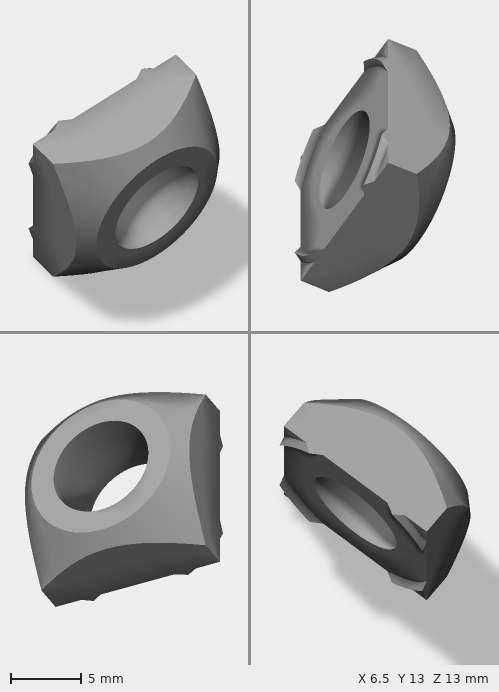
import cadquery as cq

side = 13.0
total_length = 6.5
bore_diameter = 7.5

ridge_radius = 7.5
ridge_height = 0.5
ridge_half_width = 0.38

cone_back_radius = 5.5

front_tip_x = -total_length / 2
front_face_x = front_tip_x + ridge_height
back_face_x = total_length / 2
body_length = back_face_x - front_face_x


def square_bar():
    """Square prism over the whole length, ridge included."""
    return cq.Workplane("YZ", origin=(front_tip_x, 0, 0)).rect(side, side).extrude(total_length)


def turned_profile():
    """Round body with the ridge on its front face and the cone at its back."""
    return (
        cq.Workplane("XY")
        .moveTo(front_face_x, 0)
        .lineTo(front_face_x, ridge_radius - ridge_half_width)
        .lineTo(front_tip_x, ridge_radius)
        .lineTo(front_face_x, ridge_radius + ridge_half_width)
        .lineTo(front_face_x, cone_back_radius + body_length)
        .lineTo(back_face_x, cone_back_radius)
        .lineTo(back_face_x, 0)
        .close()
        .revolve(360, (0, 0, 0), (1, 0, 0))
    )


def bore():
    """Through hole along the axis."""
    return cq.Workplane("YZ", origin=(front_tip_x, 0, 0)).circle(bore_diameter / 2).extrude(total_length)


result = square_bar().intersect(turned_profile()).cut(bore())